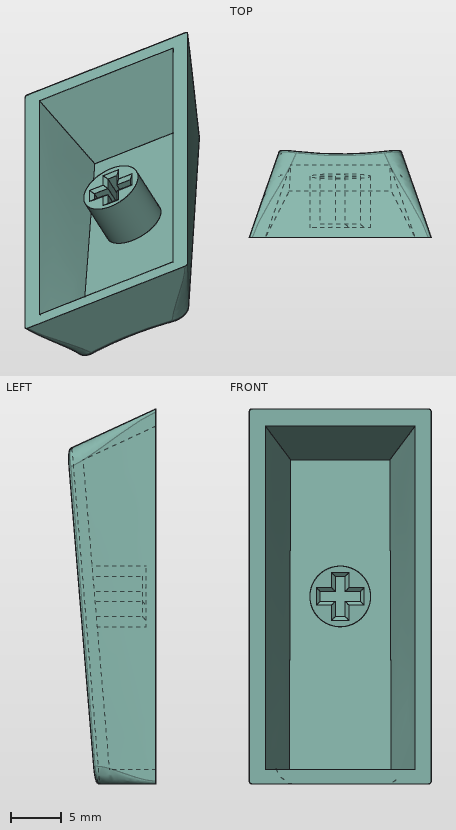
import cadquery as cq
import math

base_width = 18.0
base_length = 37.08
top_width = 12.0
top_setback = 4.05
height_upper_end = 8.78
height_lower_end = 6.06
base_corner_radius = 0.3
top_corner_radius = 1.8
loft_steps = 4
dish_depth = 0.5
top_edge_fillet = 0.3

wall_side = 1.6
wall_upper_end = 1.7
wall_lower_end = 1.45
ceiling_upper_end_z = 13.5
ceiling_width_upper_end = 9.8
ceiling_width_lower_end = 10.08
ceiling_height_upper_end = 7.2
ceiling_height_lower_end = 4.6

stem_diameter = 6.0
stem_recess = 1.0
socket_length = 3.97
socket_arm_width = 0.98
socket_chamfer_width = 0.37
socket_chamfer_depth = 0.33

half_length = base_length / 2
dish_radius = (top_width**2 / 4 + dish_depth**2) / (2 * dish_depth)


def shell_section(fraction):
    """Rounded rectangle across the shell, from the base (0) to the top (1)."""
    lower_y = height_lower_end * fraction
    upper_y = height_upper_end * fraction
    lower_z = -half_length
    upper_z = half_length - top_setback * fraction
    width = base_width + (top_width - base_width) * fraction
    length = math.hypot(upper_y - lower_y, upper_z - lower_z)
    blend = fraction**2 * (3 - 2 * fraction)
    radius = base_corner_radius + (top_corner_radius - base_corner_radius) * blend
    plane = cq.Plane(
        origin=(0, (lower_y + upper_y) / 2, (lower_z + upper_z) / 2),
        xDir=(1, 0, 0),
        normal=(0, upper_z - lower_z, lower_y - upper_y),
    )
    outline = cq.Sketch().rect(width, length).vertices().fillet(radius)
    return outline.moved(cq.Location(plane))


def make_shell():
    sections = [shell_section(step / loft_steps) for step in range(loft_steps + 1)]
    return cq.Workplane().placeSketch(*sections).loft()


def make_dish():
    """Cylinder along the sloping top, sunk by the dish depth on the centre line."""
    start = cq.Vector(0, height_lower_end, -half_length)
    end = cq.Vector(0, height_upper_end, half_length - top_setback)
    axis = (end - start).normalized()
    outward = cq.Vector(0, axis.z, -axis.y)
    foot = start - axis * half_length + outward * (dish_radius - dish_depth)
    return cq.Workplane(cq.Solid.makeCylinder(dish_radius, 2 * base_length, foot, axis))


def round_top_edges(body):
    """Fillet the rim of the dished face, the one whose centre is farthest along +Y."""
    return body.faces(">Y").edges().fillet(top_edge_fillet)


def make_cavity():
    opening_half = base_width / 2 - wall_side
    opening_upper_z = half_length - wall_upper_end
    lower_z = -half_length + wall_lower_end
    upper_half = ceiling_width_upper_end / 2
    lower_half = ceiling_width_lower_end / 2
    opening = cq.Wire.makePolygon([
        cq.Vector(-opening_half, 0, lower_z),
        cq.Vector(opening_half, 0, lower_z),
        cq.Vector(opening_half, 0, opening_upper_z),
        cq.Vector(-opening_half, 0, opening_upper_z),
    ], close=True)
    ceiling = cq.Wire.makePolygon([
        cq.Vector(-lower_half, ceiling_height_lower_end, lower_z),
        cq.Vector(lower_half, ceiling_height_lower_end, lower_z),
        cq.Vector(upper_half, ceiling_height_upper_end, ceiling_upper_end_z),
        cq.Vector(-upper_half, ceiling_height_upper_end, ceiling_upper_end_z),
    ], close=True)
    return cq.Workplane(cq.Solid.makeLoft([opening, ceiling], True))


def socket_bar(size_x, size_z):
    """One bar of the cross socket with a chamfered mouth at the stem tip."""
    flare = 2 * socket_chamfer_width
    bar = cq.Workplane("XZ", origin=(0, stem_recess, 0)).rect(size_x, size_z).extrude(-height_upper_end)
    mouth = (
        cq.Workplane("XZ", origin=(0, stem_recess, 0))
        .rect(size_x + flare, size_z + flare)
        .workplane(offset=-socket_chamfer_depth)
        .rect(size_x, size_z)
        .loft(ruled=True)
    )
    return bar.union(mouth)


def make_stem():
    """Stem and socket, both long enough to pass the sloping cavity ceiling."""
    stem = (
        cq.Workplane("XZ", origin=(0, stem_recess, 0))
        .circle(stem_diameter / 2)
        .extrude(-height_upper_end)
    )
    socket = socket_bar(socket_length, socket_arm_width).union(socket_bar(socket_arm_width, socket_length))
    return stem.cut(socket)


outer = round_top_edges(make_shell().cut(make_dish()))
hollow = make_cavity().cut(make_stem())
result = outer.cut(hollow)